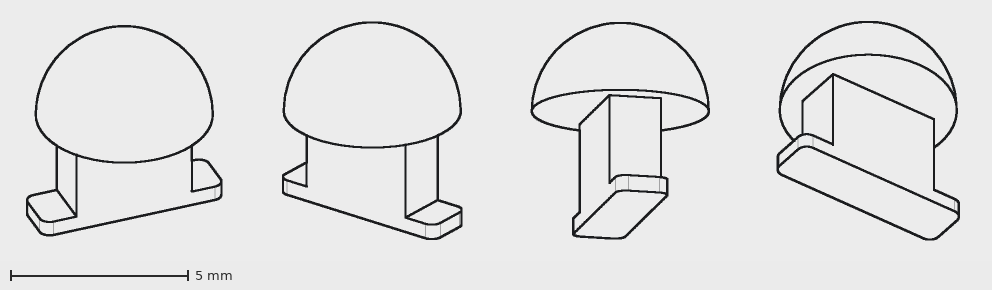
import cadquery as cq

total_height = 5.5
dome_diameter = 5.0
stem_width = 1.5
stem_length = 3.5
foot_length = 5.5
foot_thickness = 0.45
foot_corner_radius = 0.3

dome_radius = dome_diameter / 2
dome_base_height = total_height - dome_radius


def make_foot():
    """Flat foot, as wide as the stem, with rounded vertical corners."""
    foot = cq.Workplane("XY").rect(stem_width, foot_length).extrude(foot_thickness)
    return foot.edges("|Z").fillet(foot_corner_radius)


def make_stem():
    """Rectangular stem rising from the bottom to the flat face of the dome."""
    return cq.Workplane("XY").rect(stem_width, stem_length).extrude(dome_base_height)


def make_dome():
    """Solid half ball: a quarter disc revolved about the vertical axis."""
    diagonal_offset = dome_radius / 2**0.5
    quarter_disc = (
        cq.Workplane("XZ")
        .lineTo(dome_radius, 0)
        .threePointArc((diagonal_offset, diagonal_offset), (0, dome_radius))
        .close()
    )
    dome = quarter_disc.revolve(360, (0, 0, 0), (0, 1, 0))
    return dome.translate((0, 0, dome_base_height))


result = make_foot().union(make_stem()).union(make_dome())